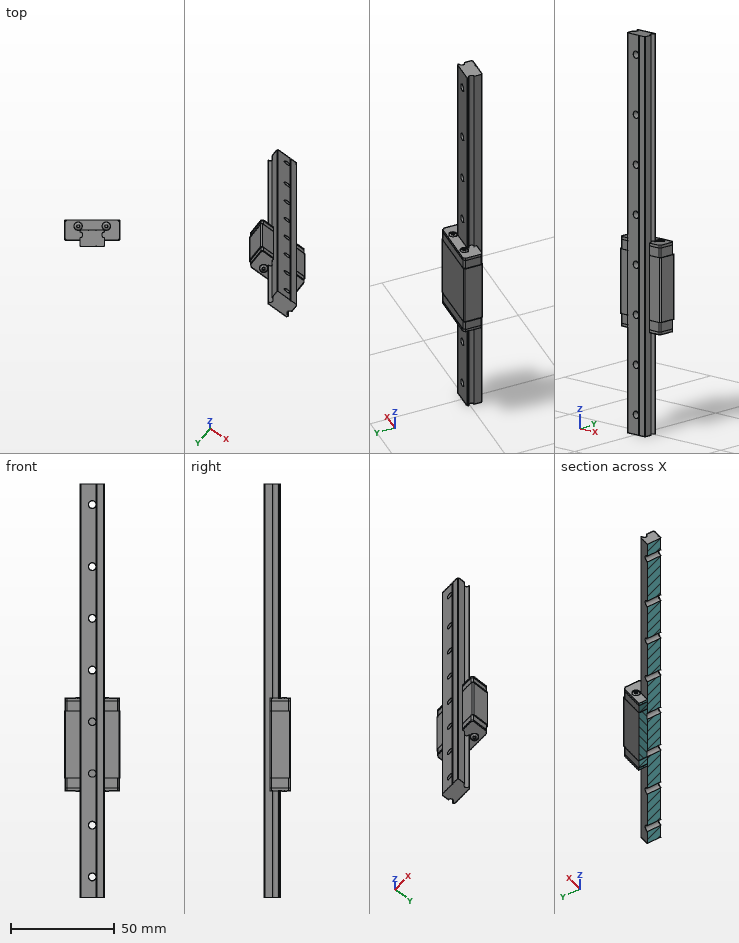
import cadquery as cq

overall_depth = 13.0
base_y = -overall_depth / 2

rail_length = 200.0
rail_width = 12.0
rail_height = 8.0
rail_chamfer = 0.5
rail_top_y = base_y + rail_height

groove_radius = 1.5
groove_drop = 2.3

mark_width = 0.5
mark_depth = 0.2
mark_x = 2.0

hole_diameter = 3.5
hole_end_margin = 10.0
hole_pitch = 25.0
row_hole_count = 7

carriage_z = -26.0
carriage_top_y = base_y + overall_depth
base_clearance = 3.0
carriage_bottom_y = base_y + base_clearance
block_width = 27.0
block_length = 32.5
block_chamfer = 0.5
cap_width = 26.2
cap_length = 4.8
cap_top_chamfer = 1.0
cap_bottom_chamfer = 0.8
seal_length = 1.5

screw_x = 6.8
screw_y = 3.5
head_diameter = 4.0
dome_height = 1.2
dome_projection = 0.5
shank_diameter = 2.0
shank_depth_in_block = 3.2
socket_width = 1.5
socket_depth = 0.8

block_end = block_length / 2
cap_end = block_end + cap_length
seal_end = cap_end + seal_length
shank_end = block_end - shank_depth_in_block
dome_tip = seal_end + dome_projection
dome_base = dome_tip - dome_height


def make_rail_bar():
    """Rail without its holes and reference groove, also used to shape the carriage."""
    bar = (
        cq.Workplane("XY", origin=(0, base_y + rail_height / 2, 0))
        .box(rail_width, rail_height, rail_length)
        .edges("|Z")
        .chamfer(rail_chamfer)
    )
    grooves = (
        cq.Workplane("XY", origin=(0, rail_top_y - groove_drop, -rail_length / 2))
        .pushPoints([(-rail_width / 2, 0), (rail_width / 2, 0)])
        .circle(groove_radius)
        .extrude(rail_length)
    )
    return bar.cut(grooves)


def make_rail(bar):
    mark = cq.Workplane("XY", origin=(mark_x, base_y, 0)).box(mark_width, 2 * mark_depth, rail_length)
    first_hole_z = -rail_length / 2 + hole_end_margin
    hole_heights = [first_hole_z + i * hole_pitch for i in range(row_hole_count)]
    hole_heights.append(rail_length / 2 - hole_end_margin)
    holes = (
        cq.Workplane("XZ", origin=(0, rail_top_y, 0))
        .pushPoints([(0, z) for z in hole_heights])
        .circle(hole_diameter / 2)
        .extrude(rail_height)
    )
    return bar.cut(mark).cut(holes)


def carriage_slab(bar, width, start, end, top_chamfer, bottom_chamfer):
    """Chamfered slab between two heights, cut out to fit closely around the rail."""
    slab = (
        cq.Workplane("XY", origin=(0, carriage_bottom_y, start))
        .box(width, carriage_top_y - carriage_bottom_y, end - start, centered=(True, False, False))
    )
    slab = slab.faces(">Y").edges("|Z").chamfer(top_chamfer)
    slab = slab.faces("<Y").edges("|Z").chamfer(bottom_chamfer)
    return slab.cut(bar)


def screw_cylinder(x, diameter, start, end):
    return cq.Workplane("XY", origin=(x, screw_y, start)).circle(diameter / 2).extrude(end - start)


def make_screw(x):
    shank = screw_cylinder(x, shank_diameter, shank_end, cap_end)
    head = screw_cylinder(x, head_diameter, cap_end, dome_base)
    head_radius = head_diameter / 2
    dome_radius = (head_radius**2 + dome_height**2) / (2 * dome_height)
    sphere = cq.Workplane("XY", origin=(x, screw_y, dome_tip - dome_radius)).sphere(dome_radius)
    dome = sphere.intersect(screw_cylinder(x, head_diameter, dome_base, dome_tip))
    socket = (
        cq.Workplane("XY", origin=(x, screw_y, dome_tip))
        .polygon(6, socket_width)
        .extrude(-socket_depth)
    )
    return shank.union(head).union(dome).cut(socket)


rail_bar = make_rail_bar()
rail = make_rail(rail_bar)

block = carriage_slab(rail_bar, block_width, -block_end, block_end, block_chamfer, block_chamfer)
cap = carriage_slab(rail_bar, cap_width, block_end, cap_end, cap_top_chamfer, cap_bottom_chamfer)
seal = carriage_slab(rail_bar, cap_width, cap_end, seal_end, cap_top_chamfer, cap_bottom_chamfer)
screws = []
for x in (-screw_x, screw_x):
    screws.append(make_screw(x))
    shank_hole = screw_cylinder(x, shank_diameter, shank_end, cap_end)
    block = block.cut(shank_hole).cut(shank_hole.mirror("XY"))
    cap = cap.cut(shank_hole)
    seal = seal.cut(screw_cylinder(x, head_diameter, cap_end, seal_end))

end_parts = [cap, seal, *screws]
carriage = [block, *end_parts]
for part in end_parts:
    carriage.append(part.mirror("XY"))

placed_carriage = [part.translate((0, 0, carriage_z)).val() for part in carriage]
result = cq.Compound.makeCompound([rail.val(), *placed_carriage])